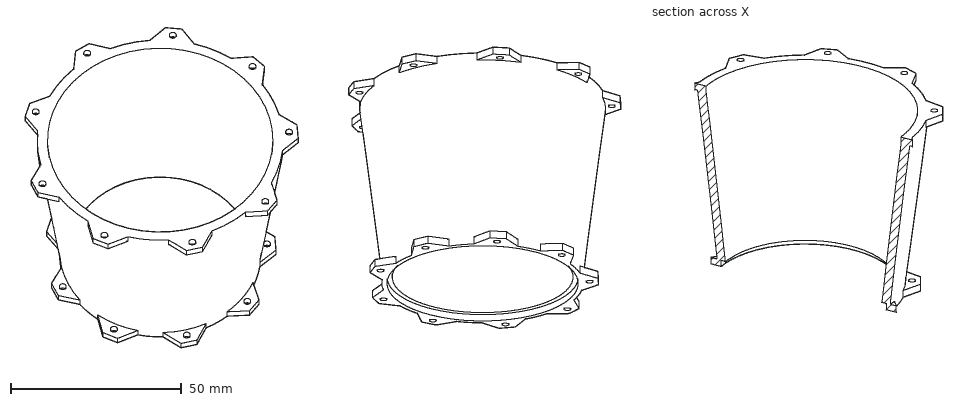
import cadquery as cq
import math

outer_span = 80.4
height = 58.0
flange_thickness = 2.25
collar_height = 2.7
bore_collar_height = 2.0

top_diameter = 72.0
bottom_diameter = 59.0
top_bore_diameter = 66.0
ring_width = (top_diameter - top_bore_diameter) / 2
bottom_bore_diameter = 56.0

tab_count = 9
tip_half_width = 2.4
root_half_width = 6.5
hole_diameter = 2.0
hole_offset = 1.85

widest_tab_angle = math.radians(2 * 360 / tab_count)
tip_radius = (outer_span / 2 - tip_half_width * math.cos(widest_tab_angle)) / math.sin(widest_tab_angle)
tab_reach = tip_radius - top_diameter / 2


def cylinder(diameter, base_z, length):
    return cq.Workplane("XY").workplane(offset=base_z).circle(diameter / 2).extrude(length)


def tapered_body(bottom, top, straight_length):
    """Solid of revolution: cone frustum between two straight end collars."""
    return (
        cq.Workplane("XZ")
        .moveTo(0, 0)
        .lineTo(bottom / 2, 0)
        .lineTo(bottom / 2, straight_length)
        .lineTo(top / 2, height - straight_length)
        .lineTo(top / 2, height)
        .lineTo(0, height)
        .close()
        .revolve(360, (0, 0, 0), (0, 1, 0))
    )


def flange_tabs(ring_diameter, base_z):
    """Pointed tabs around a ring, each with one screw hole."""
    ring_radius = ring_diameter / 2
    tip_x = ring_radius + tab_reach
    root_x = math.sqrt(ring_radius**2 - root_half_width**2)
    inner_x = root_x - ring_width / 2
    hole_x = ring_radius + hole_offset
    outline = [
        (inner_x, -root_half_width),
        (root_x, -root_half_width),
        (tip_x, -tip_half_width),
        (tip_x, tip_half_width),
        (root_x, root_half_width),
        (inner_x, root_half_width),
    ]
    tab = cq.Workplane("XY").polyline(outline).close().extrude(flange_thickness)
    hole = cylinder(hole_diameter, 0, flange_thickness).translate((hole_x, 0, 0))
    tab = tab.cut(hole).translate((0, 0, base_z))
    tabs = cq.Workplane("XY")
    for index in range(tab_count):
        tabs = tabs.add(tab.rotate((0, 0, 0), (0, 0, 1), index * 360 / tab_count))
    return tabs.combine()


body = tapered_body(bottom_diameter, top_diameter, collar_height)
body = body.union(flange_tabs(bottom_diameter, 0))
body = body.union(flange_tabs(top_diameter, height - flange_thickness))

bore = tapered_body(
    bottom_diameter - 2 * ring_width,
    top_bore_diameter,
    bore_collar_height,
)
bottom_bore = cylinder(bottom_bore_diameter, 0, bore_collar_height)

result = body.cut(bore).cut(bottom_bore)